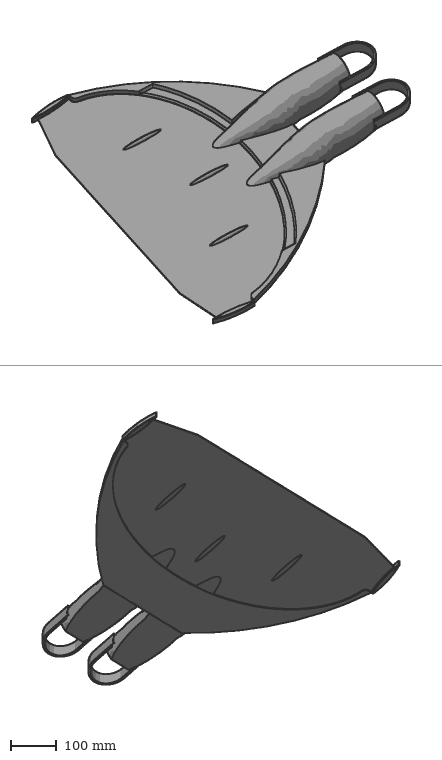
import cadquery as cq


frame_bottom = 2.4
blade_bottom = 3.5
blade_top = 5.5
deck_top = 9.8
pad_top = 17.2
tip_height = 14.8
pocket_top = 74.99
strap_bottom = 21.5
strap_top = 51

tail_half_width = 237
blade_corner = (343, 27.5)

frame_end = (352, 116)
frame_side = (260, 314)
frame_heel = (111, 474)
frame_end_round = 12
deck_heel_chamfer = 2
edge_reach = 2

arch_centre_y = 100
inner_half_width = 336
inner_rise = 251
step_half_width = 362
step_rise = 271
step_slope = 4
step_end_half_width = 269
inner_slope = 4

channel_heel = (111, 474)
channel_middle = (105, 430)
channel_front = (88, 360)

rib_length = 100
rib_radius = 5.5
side_rib_offset = 165
side_rib_y = 180
middle_rib_y = 243

fin_half_width = 715.07 / 2
tip_start_y = 116
tip_bulge_y = 86
tip_end_y = 13
tip_outer_start = 356.5
tip_outer_end = 346
tip_inner_start = 352
tip_inner_bulge = 346
tip_inner_end = 343.3
tip_chamfer = 1.2

pocket_spacing = 130
pocket_shift = 5.2
pocket_centres = [pocket_shift - pocket_spacing / 2, pocket_shift + pocket_spacing / 2]
strap_tail_y = 604
knee_y = 494
knee_radius = 47.7
knee_top = 68
nose_fall = 0.315
heel_stations = [(634, 39, pocket_top), (strap_tail_y, 43.2, 74.2), (550, 47.7, 72)]
nose_stations = [(410, 40), (348, 24.5), (285, 20)]

strap_back_y = 720.49
strap_half_width = 42.7
strap_arch_rise = 50
strap_thickness = 5


def frame_blank():
    """Full-height slab inside the frame outline."""
    outline = (
        cq.Workplane("XY", origin=(0, 0, frame_bottom))
        .moveTo(-frame_heel[0], frame_heel[1])
        .lineTo(*frame_heel)
        .threePointArc(frame_side, frame_end)
        .lineTo(-frame_end[0], frame_end[1])
        .threePointArc((-frame_side[0], frame_side[1]), (-frame_heel[0], frame_heel[1]))
        .close()
    )
    return outline.extrude(pad_top - frame_bottom)


def arch_cutter(half_width, rise, slope, bottom, top):
    """Elliptical cutter whose wall leans outwards by `slope` from bottom to top."""
    return (
        cq.Workplane("XY", origin=(0, arch_centre_y, bottom))
        .ellipse(half_width, rise)
        .workplane(offset=top - bottom)
        .ellipse(half_width + slope, rise + slope)
        .loft(ruled=True)
    )


def step_bounds(bottom, top):
    """Block with leaning ends that limits the lowered step across the fin."""
    depth = 2 * frame_heel[1]
    return (
        cq.Workplane("XY", origin=(0, 0, bottom))
        .rect(2 * step_end_half_width, depth)
        .workplane(offset=top - bottom)
        .rect(2 * (step_end_half_width + step_slope), depth)
        .loft(ruled=True)
    )


def channel_outline(plane, inset):
    """Tapering channel outline, drawn in from the pad edges by `inset`."""
    heel, middle, front = [(x - inset, y) for x, y in (channel_heel, channel_middle, channel_front)]
    return (
        plane.moveTo(-heel[0], heel[1])
        .lineTo(*heel)
        .threePointArc(middle, front)
        .lineTo(-front[0], front[1])
        .threePointArc((-middle[0], middle[1]), (-heel[0], heel[1]))
        .close()
    )


def channel_cutter():
    """Cutter that lowers the frame to deck height between the pads."""
    lower = channel_outline(cq.Workplane("XY", origin=(0, 0, deck_top)), step_slope)
    return channel_outline(lower.workplane(offset=pad_top - deck_top), 0).loft(ruled=True)


def edge_near(x, y, z):
    """Selector for the edge whose middle lies at the given point."""
    low = (x - edge_reach, y - edge_reach, z - edge_reach)
    high = (x + edge_reach, y + edge_reach, z + edge_reach)
    return cq.selectors.BoxSelector(low, high)


def make_frame():
    """Frame with two raised pads, a lowered step along the arch and a lowered middle."""
    inner = arch_cutter(inner_half_width, inner_rise, 0, frame_bottom, pad_top)
    frame = frame_blank().cut(inner)
    middle_height = (frame_bottom + pad_top) / 2
    for side in (-1, 1):
        end_corner = edge_near(side * inner_half_width, frame_end[1], middle_height)
        frame = frame.edges(end_corner).fillet(frame_end_round)
    step = arch_cutter(step_half_width, step_rise, step_slope, deck_top, pad_top)
    frame = frame.cut(step.intersect(step_bounds(deck_top, pad_top)))
    bevel = arch_cutter(inner_half_width, inner_rise, inner_slope, blade_top, deck_top)
    frame = frame.cut(bevel.intersect(step_bounds(blade_top, deck_top)))
    frame = frame.cut(channel_cutter())
    deck_edge = edge_near(0, frame_heel[1], deck_top)
    return frame.edges(deck_edge).chamfer(deck_heel_chamfer)


def make_blade():
    """Thin sheet from the tail edge up to and into the frame."""
    tail = (
        cq.Workplane("XY", origin=(0, 0, blade_bottom))
        .polyline([
            (-tail_half_width, 0),
            (tail_half_width, 0),
            blade_corner,
            frame_end,
            (-frame_end[0], frame_end[1]),
            (-blade_corner[0], blade_corner[1]),
        ])
        .close()
        .extrude(blade_top - blade_bottom)
    )
    core = frame_blank().intersect(
        cq.Workplane("XY", origin=(0, 0, blade_bottom))
        .rect(2 * fin_half_width, 2 * frame_heel[1])
        .extrude(blade_top - blade_bottom)
    )
    return tail.union(core)


def make_rib(x, y):
    """Slender spindle, half of it standing on the blade."""
    spindle = (
        cq.Workplane("XY", origin=(x, y, blade_top))
        .moveTo(0, -rib_length / 2)
        .ellipseArc(rib_radius, rib_length / 2, -90, 90)
        .close()
        .revolve(360, (0, 0, 0), (0, 1, 0))
    )
    upper_half = (
        cq.Workplane("XY", origin=(x, y, blade_bottom))
        .rect(2 * rib_radius, rib_length)
        .extrude(rib_radius + blade_top - blade_bottom)
    )
    return spindle.intersect(upper_half)


def make_tip():
    """Lens-shaped rail on the +X side edge of the blade."""
    return (
        cq.Workplane("XY")
        .moveTo(tip_inner_start, tip_start_y)
        .lineTo(tip_outer_start, tip_start_y)
        .threePointArc((fin_half_width, tip_bulge_y), (tip_outer_end, tip_end_y))
        .lineTo(tip_inner_end, tip_end_y)
        .threePointArc((tip_inner_bulge, tip_bulge_y), (tip_inner_start, tip_start_y))
        .close()
        .extrude(tip_height)
    )


def make_fin():
    """Frame, blade, ribs and side tips in one piece."""
    fin = make_frame().union(make_blade())
    rib_places = [(-side_rib_offset, side_rib_y), (0, middle_rib_y), (side_rib_offset, side_rib_y)]
    for x, y in rib_places:
        fin = fin.union(make_rib(x, y))
    tip = make_tip().faces("<Z or >Z").edges().chamfer(tip_chamfer)
    return fin.union(tip).union(tip.mirror("YZ"))


def round_loft(x, stations):
    """Smooth loft through circles given as (Y, radius, top height)."""
    wires = []
    for y, radius, top in stations:
        section = cq.Plane(origin=(x, y, top - radius), xDir=(0, 0, -1), normal=(0, -1, 0))
        wires.append(cq.Workplane(section).circle(radius).wires().val())
    return cq.Workplane(cq.Solid.makeLoft(wires))


def nose_top(y):
    """Height of the straight ridge that falls from the knee to the nose."""
    return knee_top - nose_fall * (knee_y - y)


def make_strap(x):
    """U-shaped heel strap whose ends lie against the sides of the pocket."""
    arch_y = strap_back_y - strap_arch_rise
    height = strap_top - strap_bottom

    def loop(inset):
        """Solid strap outline, drawn in by `inset`."""
        half_width = strap_half_width - inset
        legs = (
            cq.Workplane("XY", origin=(x, 0, strap_bottom))
            .moveTo(0, (strap_tail_y + arch_y) / 2)
            .rect(2 * half_width, arch_y - strap_tail_y)
            .extrude(height)
        )
        arch = (
            cq.Workplane("XY", origin=(x, arch_y, strap_bottom))
            .ellipse(half_width, strap_arch_rise - inset)
            .extrude(height)
        )
        return legs.union(arch)

    return loop(0).cut(loop(strap_thickness))


def make_pocket(x):
    """Foot pocket: rounded heel half and tapering nose, flat underneath."""
    knee = (knee_y, knee_radius, knee_top)
    heel = round_loft(x, heel_stations + [knee])
    nose_circles = [(y, radius, nose_top(y)) for y, radius in nose_stations]
    nose = round_loft(x, [knee] + nose_circles)
    above_blade = (
        cq.Workplane("XY", origin=(x, 0, blade_top))
        .rect(pocket_spacing, 2 * strap_back_y)
        .extrude(pocket_top)
    )
    return heel.union(nose).intersect(above_blade)


straps = [make_strap(x) for x in pocket_centres]
pocket_blanks = [make_pocket(x) for x in pocket_centres]
pockets = [pocket.cut(strap) for pocket, strap in zip(pocket_blanks, straps)]

fin = make_fin()
for pocket in pocket_blanks:
    fin = fin.cut(pocket)

result = cq.Compound.makeCompound(
    [fin.solids().val()]
    + [pocket.solids().val() for pocket in pockets]
    + [strap.solids().val() for strap in straps]
)